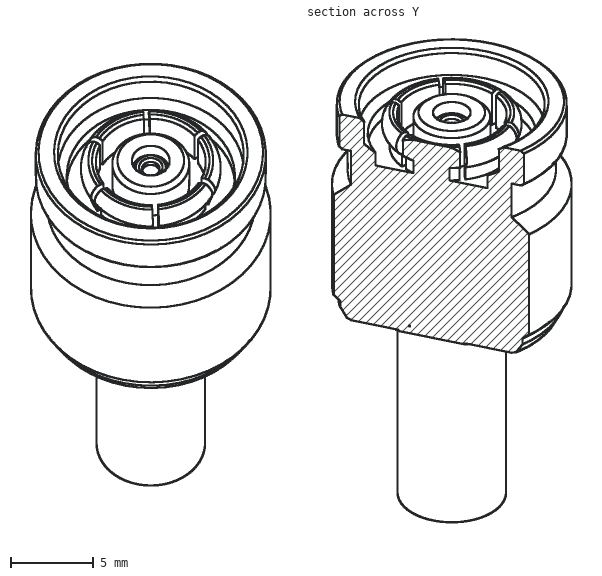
import cadquery as cq

total_height = 28.55
body_diameter = 14.6
body_radius = body_diameter / 2

rim_radius = 7.0
rim_height = 2.57
rim_edge = 0.17
neck_radius = 6.35
neck_end_depth = 5.0
shoulder_end_depth = 6.0
body_end_depth = 13.7
body_chamfer = 0.37

collar_radius = body_radius - body_chamfer
collar_straight_end_depth = 14.13
collar_taper_end_depth = 14.82
collar_taper_end_radius = 6.57
collar_end_depth = 14.93
collar_foot_radius = 6.3
washer_radius = 4.2
washer_end_depth = 15.02

tail_radius = 3.3

bore_radius = 5.65
bore_edge = 0.23
bore_depth = 1.83
well_radius = 5.1
well_wall_depth = 2.3
floor_depth = 3.23

ring_top_depth = 0.8
ring_inner_radius = 3.35
ring_lead_in_width = 0.23
ring_lead_in_depth = 0.15
ring_wall_radius = 3.8
bead_bulge = 0.45
bead_half_height = 0.77
slot_width = 0.37
slot_count = 6

boss_top_depth = ring_top_depth
boss_radius = 2.35
boss_chamfer = 0.3
boss_hole_radius = 1.15
boss_hole_depth = 1.0

contact_radius = 1.08
contact_edge = 0.17
contact_height = 0.35
contact_bore_radius = 0.55
contact_countersink = 0.17
contact_bore_depth = 0.45

floor_level = total_height - floor_depth
ring_top_level = total_height - ring_top_depth
boss_top_level = total_height - boss_top_depth
contact_base_level = boss_top_level - boss_hole_depth
contact_top_level = contact_base_level + contact_height


def cylinder(radius, bottom, top):
    return cq.Workplane("XY").workplane(offset=bottom).circle(radius).extrude(top - bottom)


def revolve_about_z(outline):
    return outline.close().revolve(360, (0, 0, 0), (0, 1, 0))


def make_shell():
    """Tail, collar, body, neck and rim as one solid of revolution."""
    def level(depth):
        return total_height - depth

    outline = (
        cq.Workplane("XZ")
        .moveTo(0, 0)
        .lineTo(tail_radius, 0)
        .lineTo(tail_radius, level(washer_end_depth))
        .lineTo(washer_radius, level(washer_end_depth))
        .lineTo(washer_radius, level(collar_end_depth))
        .lineTo(collar_foot_radius, level(collar_end_depth))
        .lineTo(collar_taper_end_radius, level(collar_taper_end_depth))
        .lineTo(collar_radius, level(collar_straight_end_depth))
        .lineTo(collar_radius, level(body_end_depth))
        .lineTo(body_radius, level(body_end_depth - body_chamfer))
        .lineTo(body_radius, level(shoulder_end_depth))
        .lineTo(neck_radius, level(neck_end_depth))
        .lineTo(neck_radius, level(rim_height))
        .lineTo(rim_radius - rim_edge, level(rim_height))
        .lineTo(rim_radius, level(rim_height - rim_edge))
        .lineTo(rim_radius, level(rim_edge))
        .lineTo(rim_radius - rim_edge, total_height)
        .lineTo(0, total_height)
    )
    return revolve_about_z(outline)


def make_socket():
    """Chamfered bore that tapers into a narrower flat-bottomed well."""
    outline = (
        cq.Workplane("XZ")
        .moveTo(0, floor_level)
        .lineTo(well_radius, floor_level)
        .lineTo(well_radius, total_height - well_wall_depth)
        .lineTo(bore_radius, total_height - bore_depth)
        .lineTo(bore_radius, total_height - bore_edge)
        .lineTo(bore_radius + bore_edge, total_height)
        .lineTo(0, total_height)
    )
    return revolve_about_z(outline)


def make_spring_ring():
    """Thin ring with a rounded outer bead at its tip, cut by radial slots."""
    bead_level = ring_top_level - bead_half_height
    outline = (
        cq.Workplane("XZ")
        .moveTo(ring_inner_radius, floor_level)
        .lineTo(ring_wall_radius, floor_level)
        .lineTo(ring_wall_radius, bead_level - bead_half_height)
        .threePointArc(
            (ring_wall_radius + bead_bulge, bead_level),
            (ring_wall_radius, ring_top_level),
        )
        .lineTo(ring_inner_radius + ring_lead_in_width, ring_top_level)
        .lineTo(ring_inner_radius, ring_top_level - ring_lead_in_depth)
    )
    ring = revolve_about_z(outline)
    slot_length = 2 * well_radius
    for index in range(slot_count // 2):
        slot = (
            cq.Workplane("XY")
            .workplane(offset=floor_level)
            .rect(slot_length, slot_width)
            .extrude(total_height - floor_level)
            .rotate((0, 0, 0), (0, 0, 1), index * 360 / slot_count)
        )
        ring = ring.cut(slot)
    return ring


def make_boss():
    """Insulator boss with the contact tube recessed in its hole."""
    boss = cylinder(boss_radius, floor_level, boss_top_level).faces(">Z").chamfer(boss_chamfer)
    hole = cylinder(boss_hole_radius, contact_base_level, boss_top_level)
    tip = cylinder(contact_radius, contact_base_level, contact_top_level)
    tip = tip.faces(">Z").chamfer(contact_edge)
    contact_bore = cylinder(contact_bore_radius, contact_top_level - contact_bore_depth, contact_top_level)
    countersink = (
        cq.Workplane("XY")
        .workplane(offset=contact_top_level)
        .circle(contact_bore_radius + contact_countersink)
        .workplane(offset=-contact_countersink)
        .circle(contact_bore_radius)
        .loft()
    )
    return boss.cut(hole).union(tip).cut(contact_bore).cut(countersink)


result = make_shell().cut(make_socket()).union(make_spring_ring()).union(make_boss())